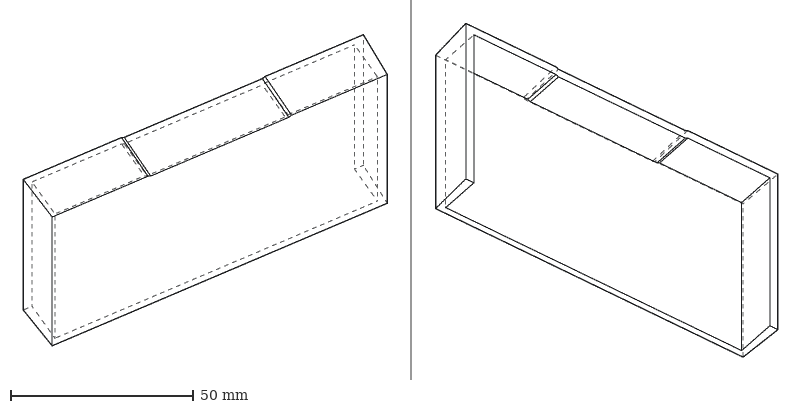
import cadquery as cq
import math

depth = 15.0
length = 106.6
height = 56.3

rim_wall = 2.8
back_wall = 2.0
draft_angle = 3.0
draft_inset = depth * math.tan(math.radians(draft_angle))

dip_depth = 0.4
dip_half_length = 22.5
step_length = 0.9


def arch_profile(x, half_length, top):
    """Closed YZ outline at the given x, with the dip in its top edge."""
    dip_floor_half = dip_half_length - step_length
    points = [
        (-half_length, 0),
        (-half_length, top),
        (-dip_half_length, top),
        (-dip_floor_half, top - dip_depth),
        (dip_floor_half, top - dip_depth),
        (dip_half_length, top),
        (half_length, top),
        (half_length, 0),
    ]
    return cq.Workplane("YZ", origin=(x, 0, 0)).polyline(points).close()


def drafted_body():
    """Solid that narrows at the ends and top towards the closed back."""
    front = arch_profile(0, length / 2, height).wire().val()
    back = arch_profile(depth, length / 2 - draft_inset, height - draft_inset).wire().val()
    return cq.Workplane(cq.Solid.makeLoft([front, back], True))


def cavity():
    """Straight pocket, open at the front and at the bottom."""
    profile = arch_profile(0, length / 2 - rim_wall, height - rim_wall)
    return profile.extrude(depth - back_wall)


result = drafted_body().cut(cavity())